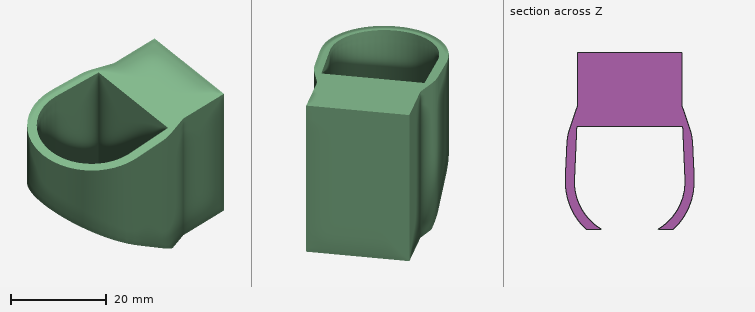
import cadquery as cq

length = 40.5
height = 34.0
nose_radius = 13.5
wall = 2.0
block_width = 22.0
block_depth = 15.5
straight_run = 1.1
flank_depth = 11.25
flank_length = 6.15
flank_half_width = 13.1
flank_blend_radius = 11.0
nose_height = 14.2
cut_margin = 1.0

half_block = block_width / 2
bore_radius = nose_radius - wall
block_front_y = length - block_depth
flank_back_y = length - flank_depth
flank_front_y = flank_back_y - flank_length
wall_start_y = nose_radius + straight_run


def make_body():
    """Outer prism: round nose, narrowing side walls, flanks and block."""
    body = (
        cq.Workplane("XY")
        .moveTo(-nose_radius, nose_radius)
        .threePointArc((0, 0), (nose_radius, nose_radius))
        .lineTo(nose_radius, wall_start_y)
        .lineTo(flank_half_width, flank_front_y)
        .lineTo(half_block, flank_back_y)
        .lineTo(half_block, length)
        .lineTo(-half_block, length)
        .lineTo(-half_block, flank_back_y)
        .lineTo(-flank_half_width, flank_front_y)
        .lineTo(-nose_radius, wall_start_y)
        .close()
        .extrude(height)
    )
    for x in (-flank_half_width, flank_half_width):
        corner = cq.selectors.NearestToPointSelector((x, flank_front_y, height / 2))
        body = body.edges("|Z").edges(corner).fillet(flank_blend_radius)
    return body


def make_bore():
    """Through opening: round at the nose, narrowing to the block's flat face."""
    return (
        cq.Workplane("XY")
        .moveTo(-bore_radius, nose_radius)
        .threePointArc((0, wall), (bore_radius, nose_radius))
        .lineTo(half_block, block_front_y)
        .lineTo(-half_block, block_front_y)
        .close()
        .extrude(height)
    )


def make_underside_wedge():
    """Wedge below the sloping underside, from the block's front to the nose."""
    wedge_width = 2 * (nose_radius + cut_margin)
    return (
        cq.Workplane("YZ")
        .moveTo(block_front_y, 0)
        .lineTo(0, height - nose_height)
        .lineTo(-cut_margin, height - nose_height)
        .lineTo(-cut_margin, -cut_margin)
        .lineTo(block_front_y, -cut_margin)
        .close()
        .extrude(wedge_width / 2, both=True)
    )


result = make_body().cut(make_bore()).cut(make_underside_wedge())